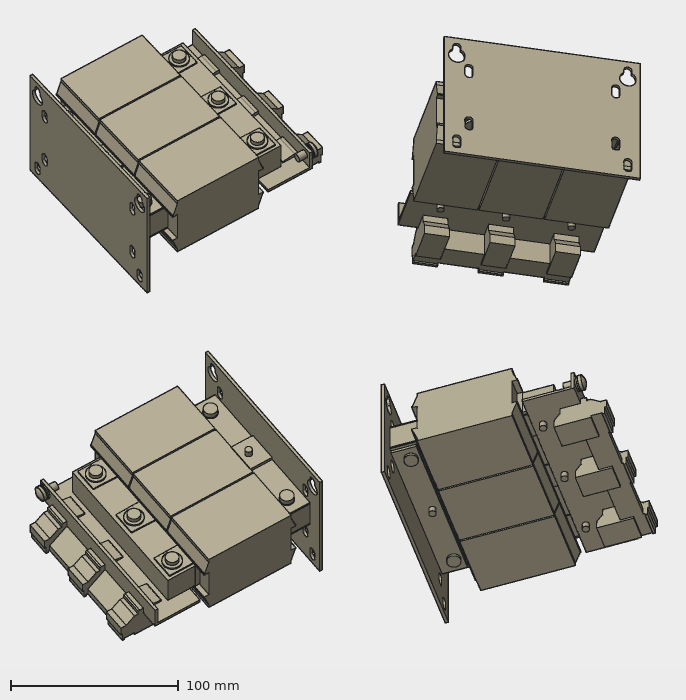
import cadquery as cq
import math


PLATE_WIDTH = 120.0
PLATE_HEIGHT = 85.0
SHEET = 2.0
SLOT_WIDTH = 5.0
SLOT_LENGTH = 9.5
OUTER_SLOT_X = 52.3
OUTER_SLOT_Z = 8.5
INNER_SLOT_X = 44.9
INNER_SLOT_RISE = 19.4
KEYHOLE_Z = 72.3
KEYHOLE_DIAMETER = 10.0
KEYHOLE_TOP = 81.0

AXIS_Z = 44.9
CORE_WIDTH = 99.7
CORE_HEIGHT = 19.0
CORE_END = 105.1
LEG_WIDTH = 20.0
INSULATION = 1.0
CLAMPED_HEIGHT = CORE_HEIGHT + 2 * INSULATION
COLLAR_STEP = 0.7

PITCH = 40.1
COIL_GAP = 1.0
COIL_WIDTH = PITCH - COIL_GAP
COIL_HEIGHT = 45.9
COIL_START = 22.4
COIL_END = 82.0
COIL_MID = (COIL_START + COIL_END) / 2
FLAP_REACH = 3.5
FLAP_LIP = 0.4
FLAP_LIP_HEIGHT = 1.1
FLAP_ROOT_RISE = 20.3
PHASES = (-PITCH, 0, PITCH)

TAB_HALF_WIDTH = 8.1
TAB_TAPER = 0.4
TAB_END = 102.5

REAR_BOLT_Y = 95.0
FRONT_BOLT_Y = 12.1
BOLT_DIAMETER = 4.4
BOLT_REACH = 16.8
REAR_WASHER_DIAMETER = 12.4
REAR_WASHER_THICKNESS = 1.1
REAR_HEAD_DIAMETER = 8.2
REAR_HEAD_HEIGHT = 2.9
FRONT_HEAD_DIAMETER = 8.7
FRONT_HEAD_HEIGHT = 3.8
FRONT_FLANGE_DIAMETER = 9.3
FRONT_FLANGE_THICKNESS = 0.4
UPPER_CLAMP_WIDTH = 20.3
LOWER_CLAMP_WIDTH = 96.2
CLAMP_END = 18.0

ANGLE_BACK = 121.2
ANGLE_FRONT = 88.6
ANGLE_TOP = 47.5
ANGLE_BOTTOM = AXIS_Z - CLAMPED_HEIGHT / 2 - SHEET

SCREW_X = 55.1
SCREW_Z = 42.3
SCREW_DIAMETER = 5.4
SCREW_TIP = 113.3
SCREW_WASHER_RADIUS = 4.8
SCREW_WASHER_END = 122.1
SCREW_NECK_RADIUS = 4.4
SCREW_HEAD_RADIUS = 4.8
SCREW_HEAD_START = 123.1
SCREW_HEAD_EDGE = 125.3
SCREW_HEAD_END = 127.0
SCREW_DOME_RADIUS = 4.4

TERMINAL_WIDTH = 15.2
TERMINAL_BACK = 137.4
TERMINAL_PROFILE = [
    (TERMINAL_BACK, 29.3),
    (133.5, 29.3),
    (127.5, 33.9),
    (124.9, 33.9),
    (124.9, 36.5),
    (123.8, 37.0),
    (116.9, 37.0),
    (108.1, 35.5),
    (108.1, 27.9),
    (104.4, 22.4),
    (104.4, 16.2),
    (127.6, 16.2),
    (127.6, 17.9),
    (134.6, 17.9),
    (134.6, 16.8),
    (136.3, 16.8),
    (136.3, 22.7),
    (TERMINAL_BACK, 22.7),
]
RAIL_BACK = 133.7
RAIL_BACK_TOP = 22.5
RAIL_BOTTOM = 17.9


def box(x_range, y_range, z_range):
    """Box between the given limits along each axis."""
    (x0, x1), (y0, y1), (z0, z1) = x_range, y_range, z_range
    return cq.Workplane("XY").box(x1 - x0, y1 - y0, z1 - z0, centered=False).translate((x0, y0, z0))


def centred_box(width, y_range, height):
    """Box centred on X = 0 and on the core's mid-height."""
    z_range = (AXIS_Z - height / 2, AXIS_Z + height / 2)
    return box((-width / 2, width / 2), y_range, z_range)


def side_profile(points, width, x_centre=0.0):
    """Prism with a (Y, Z) outline, centred on x_centre."""
    prism = cq.Workplane("YZ").polyline(points).close().extrude(width / 2, both=True)
    return prism.translate((x_centre, 0, 0))


def upright_disc(x, y, z, diameter, height):
    return cq.Workplane("XY").center(x, y).circle(diameter / 2).extrude(height).translate((0, 0, z))


def mirror_in_height(body):
    """The body together with its mirror image about the core's mid-height."""
    return body.union(body.mirror("XY", (0, 0, AXIS_Z)))


def through_plate(sketch):
    """Cutter from a sketch on the XZ plane, deep enough for the plate only."""
    return sketch.extrude(-SHEET)


def mounting_plate():
    plate = box((-PLATE_WIDTH / 2, PLATE_WIDTH / 2), (0, SHEET), (0, PLATE_HEIGHT))
    slot_centres = []
    for side in (-1, 1):
        slot_centres += [
            (side * OUTER_SLOT_X, OUTER_SLOT_Z),
            (side * INNER_SLOT_X, PLATE_HEIGHT / 2 - INNER_SLOT_RISE),
            (side * INNER_SLOT_X, PLATE_HEIGHT / 2 + INNER_SLOT_RISE),
        ]
    slots = cq.Workplane("XZ").pushPoints(slot_centres).slot2D(SLOT_LENGTH, SLOT_WIDTH, 90)
    plate = plate.cut(through_plate(slots))

    neck_length = KEYHOLE_TOP - KEYHOLE_Z + SLOT_WIDTH / 2
    neck_z = KEYHOLE_TOP - neck_length / 2
    for side in (-1, 1):
        x = side * OUTER_SLOT_X
        hole = cq.Workplane("XZ").center(x, KEYHOLE_Z).circle(KEYHOLE_DIAMETER / 2)
        neck = cq.Workplane("XZ").center(x, neck_z).slot2D(neck_length, SLOT_WIDTH, 90)
        plate = plate.cut(through_plate(hole)).cut(through_plate(neck))
    return plate


def core():
    front_yoke = centred_box(CORE_WIDTH, (SHEET, COIL_START), CLAMPED_HEIGHT)
    rear_yoke = centred_box(CORE_WIDTH, (COIL_END, CORE_END), CORE_HEIGHT)
    collar_range = (COIL_END, COIL_END + FLAP_REACH)
    collar = centred_box(CORE_WIDTH + 2 * COLLAR_STEP, collar_range, CORE_HEIGHT)
    body = front_yoke.union(rear_yoke).union(collar)
    for x in PHASES:
        leg = centred_box(LEG_WIDTH, (SHEET, CORE_END), CORE_HEIGHT)
        body = body.union(leg.translate((x, 0, 0)))
    return body


def coil(x):
    """Winding with slanted flaps at its four long end edges."""
    body = centred_box(COIL_WIDTH, (COIL_START, COIL_END), COIL_HEIGHT).translate((x, 0, 0))
    flap_bottom = AXIS_Z + CLAMPED_HEIGHT / 2
    lip_top = flap_bottom + FLAP_LIP_HEIGHT
    tip = COIL_START - FLAP_REACH
    flap_outline = [
        (COIL_START, AXIS_Z + FLAP_ROOT_RISE),
        (tip + FLAP_LIP, lip_top),
        (tip, lip_top),
        (tip, flap_bottom),
        (COIL_START, flap_bottom),
    ]
    front_flaps = mirror_in_height(side_profile(flap_outline, COIL_WIDTH, x))
    rear_flaps = front_flaps.mirror("XZ", (0, COIL_MID, 0))
    return body.union(front_flaps).union(rear_flaps)


def rear_tab(x):
    """Insulating tabs above and below the rear yoke; edges facing another phase flare."""
    left_flare = TAB_TAPER if x > PHASES[0] else 0
    right_flare = TAB_TAPER if x < PHASES[-1] else 0
    outline = [
        (x - TAB_HALF_WIDTH, TAB_END),
        (x + TAB_HALF_WIDTH, TAB_END),
        (x + TAB_HALF_WIDTH + right_flare, COIL_END),
        (x - TAB_HALF_WIDTH - left_flare, COIL_END),
    ]
    tab = cq.Workplane("XY").polyline(outline).close().extrude(INSULATION)
    return mirror_in_height(tab.translate((0, 0, AXIS_Z + CORE_HEIGHT / 2)))


def rear_bolt(x):
    washer_z = AXIS_Z + CLAMPED_HEIGHT / 2
    head_z = washer_z + REAR_WASHER_THICKNESS
    tip_z = AXIS_Z - BOLT_REACH
    washer = upright_disc(x, REAR_BOLT_Y, washer_z, REAR_WASHER_DIAMETER, REAR_WASHER_THICKNESS)
    head = upright_disc(x, REAR_BOLT_Y, head_z, REAR_HEAD_DIAMETER, REAR_HEAD_HEIGHT)
    shank = upright_disc(x, REAR_BOLT_Y, tip_z, BOLT_DIAMETER, head_z - tip_z)
    return washer.union(head).union(shank)


def front_fasteners():
    """Flanged heads and nuts at the outer legs, and a stud through the middle leg."""
    seat_z = AXIS_Z + CLAMPED_HEIGHT / 2
    body = upright_disc(0, FRONT_BOLT_Y, AXIS_Z - BOLT_REACH, BOLT_DIAMETER, 2 * BOLT_REACH)
    for x in (PHASES[0], PHASES[-1]):
        flange = upright_disc(x, FRONT_BOLT_Y, seat_z, FRONT_FLANGE_DIAMETER, FRONT_FLANGE_THICKNESS)
        head = upright_disc(x, FRONT_BOLT_Y, seat_z, FRONT_HEAD_DIAMETER, FRONT_HEAD_HEIGHT)
        body = body.union(mirror_in_height(flange.union(head)))
    return body


def front_clamps():
    """Narrow clamp above the front yoke and a wide one below it."""
    half_upper = UPPER_CLAMP_WIDTH / 2
    half_lower = LOWER_CLAMP_WIDTH / 2
    top_z = AXIS_Z + CLAMPED_HEIGHT / 2
    bottom_z = AXIS_Z - CLAMPED_HEIGHT / 2
    upper = box((-half_upper, half_upper), (SHEET, CLAMP_END), (top_z, top_z + SHEET))
    lower = box((-half_lower, half_lower), (SHEET, CLAMP_END), (bottom_z - SHEET, bottom_z))
    return upper.union(lower)


def angle_bracket():
    outline = [
        (ANGLE_BACK, ANGLE_BOTTOM),
        (ANGLE_BACK, ANGLE_TOP),
        (ANGLE_BACK - SHEET, ANGLE_TOP),
        (ANGLE_BACK - SHEET, ANGLE_BOTTOM + SHEET),
        (ANGLE_FRONT, ANGLE_BOTTOM + SHEET),
        (ANGLE_FRONT, ANGLE_BOTTOM),
    ]
    return side_profile(outline, PLATE_WIDTH)


def earth_screw():
    """Domed screw with washer, turned about an axis parallel to Y."""
    dome_height = SCREW_HEAD_END - SCREW_HEAD_EDGE
    sphere_radius = (SCREW_DOME_RADIUS**2 + dome_height**2) / (2 * dome_height)
    mid_angle = math.asin(SCREW_DOME_RADIUS / sphere_radius) / 2
    dome_mid_radius = sphere_radius * math.sin(mid_angle)
    dome_mid_y = SCREW_HEAD_END - sphere_radius * (1 - math.cos(mid_angle))
    half_section = (
        cq.Workplane("XY")
        .moveTo(0, SCREW_TIP)
        .lineTo(SCREW_DIAMETER / 2, SCREW_TIP)
        .lineTo(SCREW_DIAMETER / 2, ANGLE_BACK)
        .lineTo(SCREW_WASHER_RADIUS, ANGLE_BACK)
        .lineTo(SCREW_WASHER_RADIUS, SCREW_WASHER_END)
        .lineTo(SCREW_NECK_RADIUS, SCREW_WASHER_END)
        .lineTo(SCREW_NECK_RADIUS, SCREW_HEAD_START)
        .lineTo(SCREW_HEAD_RADIUS, SCREW_HEAD_START)
        .lineTo(SCREW_HEAD_RADIUS, SCREW_HEAD_EDGE)
        .lineTo(SCREW_DOME_RADIUS, SCREW_HEAD_EDGE)
        .threePointArc((dome_mid_radius, dome_mid_y), (0, SCREW_HEAD_END))
        .close()
    )
    screw = half_section.revolve(360, (0, 0, 0), (0, 1, 0))
    return screw.translate((SCREW_X, 0, SCREW_Z))


def terminals():
    """Three terminal blocks joined by a rail with a sloping upper face."""
    rail_outline = [
        (RAIL_BACK, RAIL_BOTTOM),
        (RAIL_BACK, RAIL_BACK_TOP),
        (ANGLE_BACK, ANGLE_BOTTOM),
        (ANGLE_BACK - SHEET, ANGLE_BOTTOM),
        (ANGLE_BACK - SHEET, RAIL_BOTTOM),
    ]
    body = side_profile(rail_outline, PHASES[-1] - PHASES[0])
    for x in PHASES:
        body = body.union(side_profile(TERMINAL_PROFILE, TERMINAL_WIDTH, x))
    return body


result = mounting_plate().union(core()).union(front_clamps()).union(front_fasteners())
for phase_x in PHASES:
    result = result.union(coil(phase_x)).union(rear_tab(phase_x)).union(rear_bolt(phase_x))
result = result.union(angle_bracket()).union(terminals()).union(earth_screw())